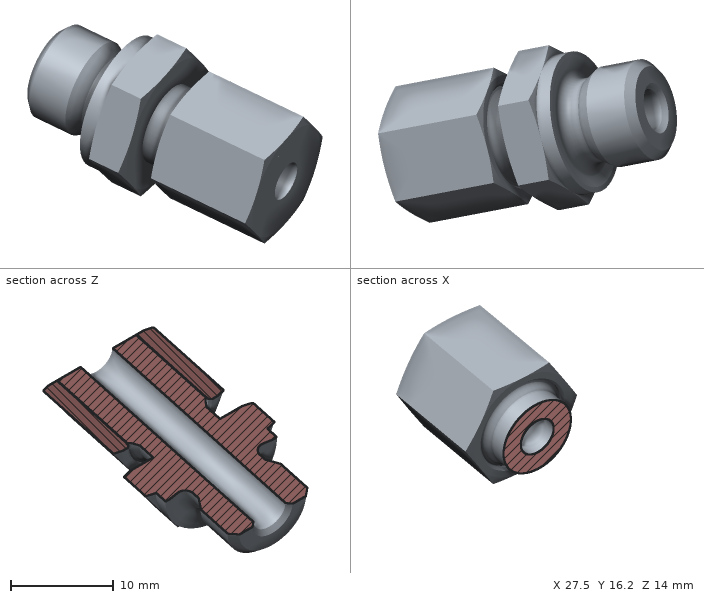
import cadquery as cq
import math


length = 27.5

thread_radius = 5.0
tip_radius = 4.18
tip_length = 0.8
bore_radius = 2.0
bore_mouth_radius = 2.5
bore_mouth_depth = bore_mouth_radius - bore_radius

neck_radius = 4.2
neck_start = 6.38
runout_angle = math.radians(30)
thread_end = neck_start - (thread_radius - neck_radius) / math.tan(runout_angle)

hex_width = 14.0
collar_radius = hex_width / 2
collar_front = 8.0
collar_back = 9.5
rim_radius = 6.5
fillet_start = 7.2
fillet_radius = 1.0

hex_back = 13.48
spigot_cone_start = 15.5

nut_width = 12.0
nut_front = 16.0
nut_mouth_radius = 5.25
nut_mouth_depth = nut_mouth_radius - thread_radius

spigot_break_radius = 4.68
steep_angle = math.radians(55)
spigot_break = spigot_cone_start + (spigot_break_radius - neck_radius) / math.tan(runout_angle)
spigot_thread_start = spigot_break + (thread_radius - spigot_break_radius) / math.tan(steep_angle)

hexagon_sides = 6
corner_chamfer_angle = math.radians(15)


def revolved(half_outline):
    """Close a half outline along the X axis and turn it into a solid."""
    return half_outline.close().revolve(360, (0, 0, 0), (1, 0, 0))


def chamfered_hexagon(width, start, end):
    """Hexagonal bar along X with flats at top and bottom and conically turned corners."""
    inner_radius = width / 2
    corner_radius = inner_radius / math.cos(math.pi / hexagon_sides)
    chamfer = (corner_radius - inner_radius) * math.tan(corner_chamfer_angle)
    prism = (
        cq.Workplane("YZ", origin=(start, 0, 0))
        .polygon(hexagon_sides, 2 * corner_radius)
        .extrude(end - start)
    )
    turned_envelope = revolved(
        cq.Workplane("XY")
        .moveTo(start, 0)
        .lineTo(start, inner_radius)
        .lineTo(start + chamfer, corner_radius)
        .lineTo(end - chamfer, corner_radius)
        .lineTo(end, inner_radius)
        .lineTo(end, 0)
    )
    return prism.intersect(turned_envelope)


def turned_stud():
    """Round part of the body: stud, dished collar, neck and spigot."""
    fillet_center_radius = neck_radius + fillet_radius
    rim_dx = collar_front - fillet_start
    rim_dr = rim_radius - fillet_center_radius
    rim_distance = math.hypot(rim_dx, rim_dr)
    tangent_angle = math.atan2(rim_dr, rim_dx) - math.acos(fillet_radius / rim_distance)

    def fillet_point(angle):
        return (
            fillet_start + fillet_radius * math.cos(angle),
            fillet_center_radius + fillet_radius * math.sin(angle),
        )

    neck_angle = -math.pi / 2
    middle_angle = (neck_angle + tangent_angle) / 2
    return revolved(
        cq.Workplane("XY")
        .moveTo(0, 0)
        .lineTo(0, tip_radius)
        .lineTo(tip_length, thread_radius)
        .lineTo(thread_end, thread_radius)
        .lineTo(neck_start, neck_radius)
        .lineTo(fillet_start, neck_radius)
        .threePointArc(fillet_point(middle_angle), fillet_point(tangent_angle))
        .lineTo(collar_front, rim_radius)
        .lineTo(collar_front, collar_radius)
        .lineTo(collar_back, collar_radius)
        .lineTo(collar_back, neck_radius)
        .lineTo(spigot_cone_start, neck_radius)
        .lineTo(spigot_break, spigot_break_radius)
        .lineTo(spigot_thread_start, thread_radius)
        .lineTo(length, thread_radius)
        .lineTo(length, 0)
    )


def bore():
    """Through bore with a conical mouth at the stud tip."""
    return revolved(
        cq.Workplane("XY")
        .moveTo(0, 0)
        .lineTo(0, bore_mouth_radius)
        .lineTo(bore_mouth_depth, bore_radius)
        .lineTo(length, bore_radius)
        .lineTo(length, 0)
    )


def make_stud_body():
    """Turned stud with its hexagon, bored through."""
    hexagon = chamfered_hexagon(hex_width, collar_back, hex_back)
    return turned_stud().union(hexagon).cut(bore())


def threaded_hole():
    """Hole through the nut that fits the spigot, with a conical mouth facing the hexagon."""
    return revolved(
        cq.Workplane("XY")
        .moveTo(nut_front, 0)
        .lineTo(nut_front, nut_mouth_radius)
        .lineTo(nut_front + nut_mouth_depth, thread_radius)
        .lineTo(length, thread_radius)
        .lineTo(length, 0)
    )


def make_union_nut():
    """Hexagonal nut around the spigot."""
    return chamfered_hexagon(nut_width, nut_front, length).cut(threaded_hole())


stud_body = make_stud_body()
union_nut = make_union_nut()

result = cq.Compound.makeCompound([stud_body.val(), union_nut.val()])